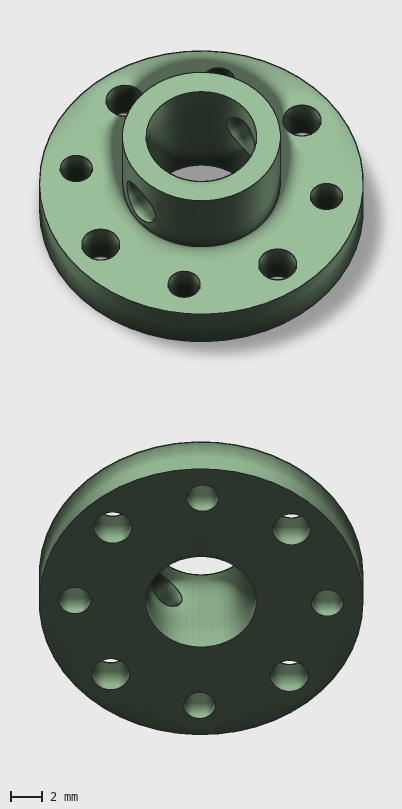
import cadquery as cq

flange_diameter = 20.5
flange_thickness = 3.0
hub_diameter = 10.0
hub_height = 5.0
bore_diameter = 7.0
total_height = flange_thickness + hub_height

bolt_circle_radius = 8
holes_per_set = 4
large_hole_diameter = 2.4
small_hole_diameter = 2.03
hole_spacing_angle = 360 / holes_per_set

cross_hole_diameter = 3.0
cross_hole_height = 5.0


def mounting_holes(diameter, start_angle):
    """Cutters for one set of evenly spaced holes through the flange."""
    return (
        cq.Workplane("XY")
        .polarArray(bolt_circle_radius, start_angle, 360, holes_per_set)
        .circle(diameter / 2)
        .extrude(flange_thickness)
    )


flange = cq.Workplane("XY").circle(flange_diameter / 2).extrude(flange_thickness)
hub = cq.Workplane("XY").circle(hub_diameter / 2).extrude(total_height)
bore = cq.Workplane("XY").circle(bore_diameter / 2).extrude(total_height)
cross_hole = (
    cq.Workplane("XZ")
    .center(0, cross_hole_height)
    .circle(cross_hole_diameter / 2)
    .extrude(hub_diameter / 2, both=True)
)

result = (
    flange.union(hub)
    .cut(bore)
    .cut(cross_hole)
    .cut(mounting_holes(large_hole_diameter, 0))
    .cut(mounting_holes(small_hole_diameter, hole_spacing_angle / 2))
)